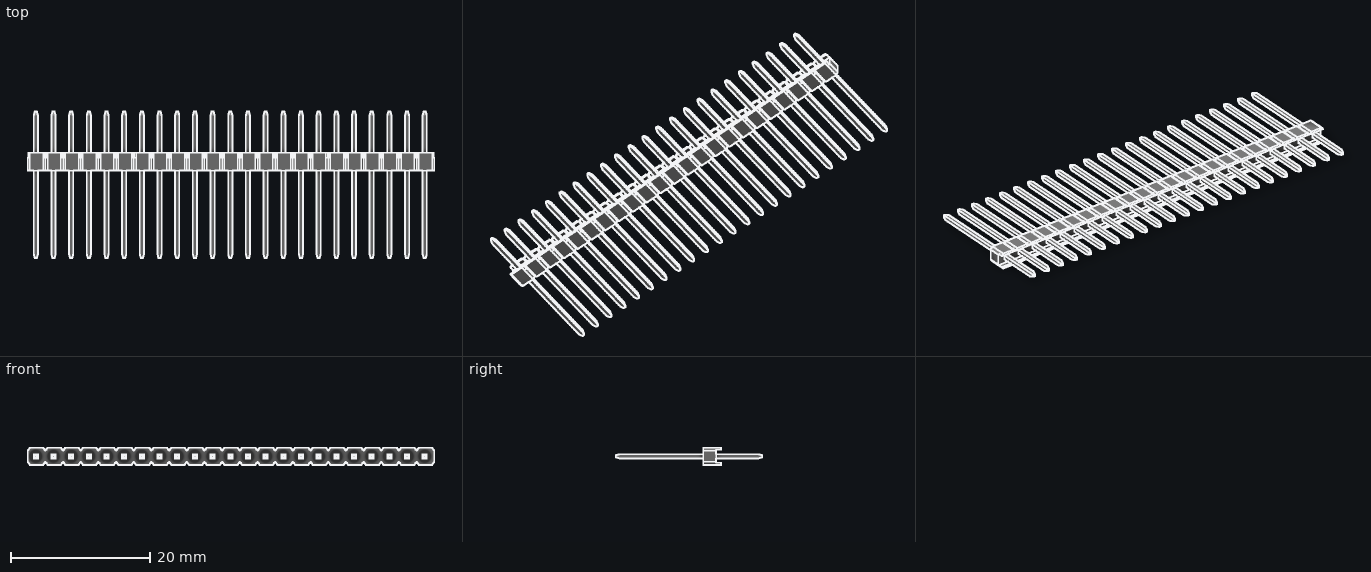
import cadquery as cq

pin_count = 23
bar_length = 58.4
pitch = bar_length / pin_count

pin_length = 21.1
pin_width = 0.65
tip_length = 0.6
tip_width = 0.32
pin_shift = -0.105

bar_height = 2.5
bar_depth = 2.55
bar_front = 2.05
notch_width = 0.65
notch_depth = 0.44

channel_depth = 0.7
lip_thickness = 0.35


def block_center(index):
    """X of the middle of one block."""
    return (index + 0.5) * pitch - bar_length / 2


def make_bar():
    """Rectangular bar, running along X, with a full-length channel in its +Y face."""
    bar = cq.Workplane("XY").box(bar_length, bar_depth, bar_height)
    bar = bar.translate((0, bar_front + bar_depth / 2, 0))
    channel = cq.Workplane("XY").box(bar_length, channel_depth, bar_height - 2 * lip_thickness)
    return bar.cut(channel.translate((0, bar_front + bar_depth - channel_depth / 2, 0)))


def make_notch(x, side):
    """V notch across the top (side = 1) or bottom (side = -1) of the bar at x."""
    surface = side * bar_height / 2
    outline = [
        (x - notch_width / 2, surface),
        (x + notch_width / 2, surface),
        (x, surface - side * notch_depth),
    ]
    notch = cq.Workplane("XZ").polyline(outline).close().extrude(-bar_depth)
    return notch.translate((0, bar_front, 0))


def make_pin():
    """Square pin centred on the origin with a tapered tip at each end."""
    shaft_length = pin_length - 2 * tip_length
    pin = cq.Workplane("XY").box(pin_width, shaft_length, pin_width)
    for end_face in ("<Y", ">Y"):
        tip = (
            pin.faces(end_face).workplane(centerOption="CenterOfMass").rect(pin_width, pin_width)
            .workplane(offset=tip_length).rect(tip_width, tip_width)
            .loft(combine=False)
        )
        pin = pin.union(tip)
    return pin


notches = cq.Workplane("XY")
for i in range(pin_count + 1):
    for side in (1, -1):
        notches.add(make_notch(i * pitch - bar_length / 2, side))

pin = make_pin()
pins = cq.Workplane("XY")
for i in range(pin_count):
    pins.add(pin.translate((block_center(i) + pin_shift, 0, 0)))

result = make_bar().cut(cq.Workplane(cq.Compound.makeCompound(notches.vals())))
result = result.union(cq.Workplane(cq.Compound.makeCompound(pins.vals())))